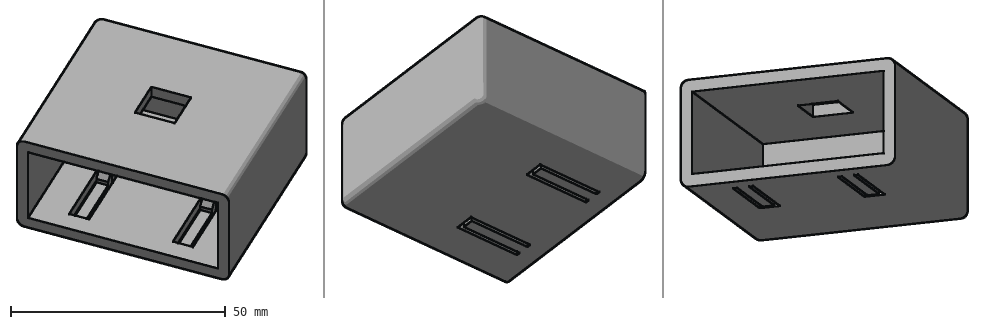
import cadquery as cq

width = 53.5
depth = 49.0
height = 26.0
corner_radius = 2.0
wall = 2.85
floor_thickness = 3.0

front_y = -depth / 2
bottom_z = -height / 2
cavity_width = width - 2 * wall
cavity_depth = depth - wall
cavity_height = height - 2 * floor_thickness
cavity_floor_z = bottom_z + floor_thickness

window_size = 10.0

latch_spacing = 26.15
tongue_width = 3.0
tongue_gap = 1.0
tongue_drop = 1.0
tongue_root_inset = 5.0
barb_inset = 19.05
barb_rise = 2.4

tongue_front_y = front_y + tongue_root_inset
barb_front_y = front_y + barb_inset
tongue_top_z = cavity_floor_z - tongue_drop
barb_top_z = cavity_floor_z + barb_rise
tongue_tip_y = barb_front_y + barb_rise
slot_width = tongue_width + 2 * tongue_gap
slot_length = tongue_tip_y + tongue_gap - tongue_front_y


def make_sleeve():
    """Box rounded on every edge except around its open front, with the cavity removed."""
    outer = (
        cq.Workplane("XY")
        .box(width, depth, height)
        .edges("|Y or >Y")
        .fillet(corner_radius)
    )
    cavity = (
        cq.Workplane("XY")
        .box(cavity_width, cavity_depth, cavity_height, centered=(True, False, True))
        .translate((0, front_y, 0))
    )
    return outer.cut(cavity)


def make_window():
    """Square cutter reaching from the cavity out through the roof."""
    return (
        cq.Workplane("XY")
        .rect(window_size, window_size)
        .extrude(height / 2)
    )


def make_slot(x):
    """Cutter through the floor that leaves room for one tongue centred at x."""
    return (
        cq.Workplane("XY")
        .box(slot_width, slot_length, floor_thickness, centered=(True, False, False))
        .translate((x, tongue_front_y, bottom_z))
    )


def make_tongue(x):
    """Tongue with a ramped barb at its free end, drawn in side profile as (y, z)."""
    profile = [
        (tongue_front_y, bottom_z),
        (tongue_tip_y, bottom_z),
        (tongue_tip_y, barb_top_z),
        (barb_front_y, cavity_floor_z),
        (barb_front_y, tongue_top_z),
        (tongue_front_y, tongue_top_z),
    ]
    return (
        cq.Workplane("YZ", origin=(x, 0, 0))
        .polyline(profile)
        .close()
        .extrude(tongue_width / 2, both=True)
    )


result = make_sleeve().cut(make_window())
for latch_x in (-latch_spacing / 2, latch_spacing / 2):
    result = result.cut(make_slot(latch_x)).union(make_tongue(latch_x))